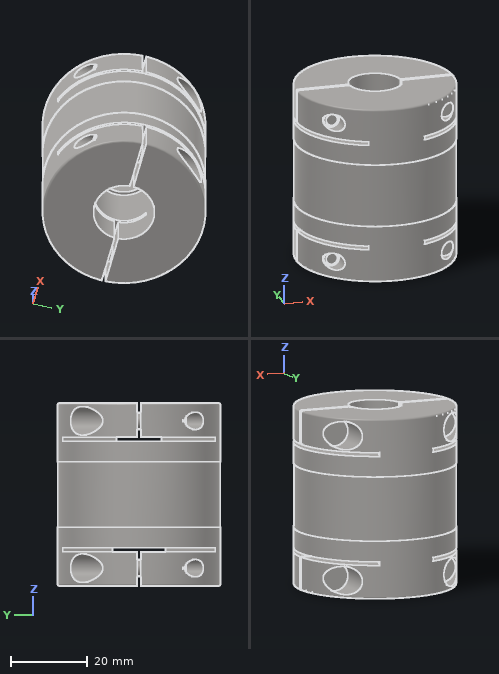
import cadquery as cq
import math

height = 48.0
hub_diameter = 42.8
hub_length = 15.45
sleeve_diameter = 42.6
rim_fillet = 0.6
hub_radius = hub_diameter / 2
sleeve_length = height - 2 * hub_length

upper_bore_diameter = 14.0
lower_bore_diameter = 16.0

cut_width = 1.0
relief_depth = 9.0
relief_half_gap = 7.7
saw_radius = 50.0

screw_offset = 15.45
screw_depth = 4.7
head_bore_diameter = 7.5
head_bore_floor = 8.65
tip_hole_diameter = 4.55
tip_hole_floor = 11.5
thread_diameter = 4.1
tip_diameter = 3.05
tip_reach = 12.35
tip_chamfer = (thread_diameter - tip_diameter) / 2


def rod_along_y(diameter, x, z, y_start, y_end):
    """Round rod parallel to Y, spanning y_start to y_end."""
    return cq.Workplane("XZ", origin=(x, y_start, z)).circle(diameter / 2).extrude(y_start - y_end)


def make_hub():
    """Upper clamping hub with a rounded top rim."""
    hub = cq.Workplane("XY").workplane(offset=sleeve_length / 2).circle(hub_radius).extrude(hub_length)
    return hub.faces(">Z").edges().fillet(rim_fillet)


def make_relief_slots():
    """Pair of saw-disc cuts that leave a waisted web along Y."""
    slot_end_y = math.sqrt(hub_radius**2 - relief_half_gap**2)
    saw_centre = relief_half_gap + math.sqrt(saw_radius**2 - slot_end_y**2)
    slot_floor = height / 2 - relief_depth - cut_width
    return (
        cq.Workplane("XY")
        .workplane(offset=slot_floor)
        .pushPoints([(-saw_centre, 0), (saw_centre, 0)])
        .circle(saw_radius)
        .extrude(cut_width)
    )


def make_slit():
    """Vertical slit that splits the hub into two clamp halves."""
    slit = cq.Workplane("XY").box(hub_diameter, cut_width, relief_depth, centered=(True, True, False))
    return slit.translate((0, 0, height / 2 - relief_depth))


def make_screw_holes(x, z):
    """Counterbore for the screw head on +Y and hole around the screw end on -Y."""
    head_bore = rod_along_y(head_bore_diameter, x, z, head_bore_floor, hub_radius)
    tip_hole = rod_along_y(tip_hole_diameter, x, z, -hub_radius, -tip_hole_floor)
    return head_bore.union(tip_hole)


def make_threaded_shank(x, z):
    """Screw shank that crosses the slit and ends in a chamfered tip."""
    shank = rod_along_y(thread_diameter, x, z, -tip_reach, head_bore_floor)
    return shank.faces("<Y").edges().chamfer(tip_chamfer)


def make_plain_shank(x, z):
    """Shank as wide as its hole, with a flat end."""
    return rod_along_y(tip_hole_diameter, x, z, -tip_reach, head_bore_floor)


def make_clamp():
    """Complete upper clamp: slotted hub with both screws in place."""
    screw_z = height / 2 - screw_depth
    clamp = make_hub().cut(make_relief_slots()).cut(make_slit())
    for x in (-screw_offset, screw_offset):
        clamp = clamp.cut(make_screw_holes(x, screw_z))
    clamp = clamp.union(make_threaded_shank(-screw_offset, screw_z))
    return clamp.union(make_plain_shank(screw_offset, screw_z))


def make_bore():
    """Stepped bore, changing diameter at mid height."""
    upper = cq.Workplane("XY").circle(upper_bore_diameter / 2).extrude(height / 2)
    lower = cq.Workplane("XY").circle(lower_bore_diameter / 2).extrude(-height / 2)
    return upper.union(lower)


sleeve = cq.Workplane("XY").circle(sleeve_diameter / 2).extrude(sleeve_length / 2, both=True)
upper_clamp = make_clamp()
lower_clamp = upper_clamp.mirror("XY")
result = sleeve.union(upper_clamp).union(lower_clamp).cut(make_bore())